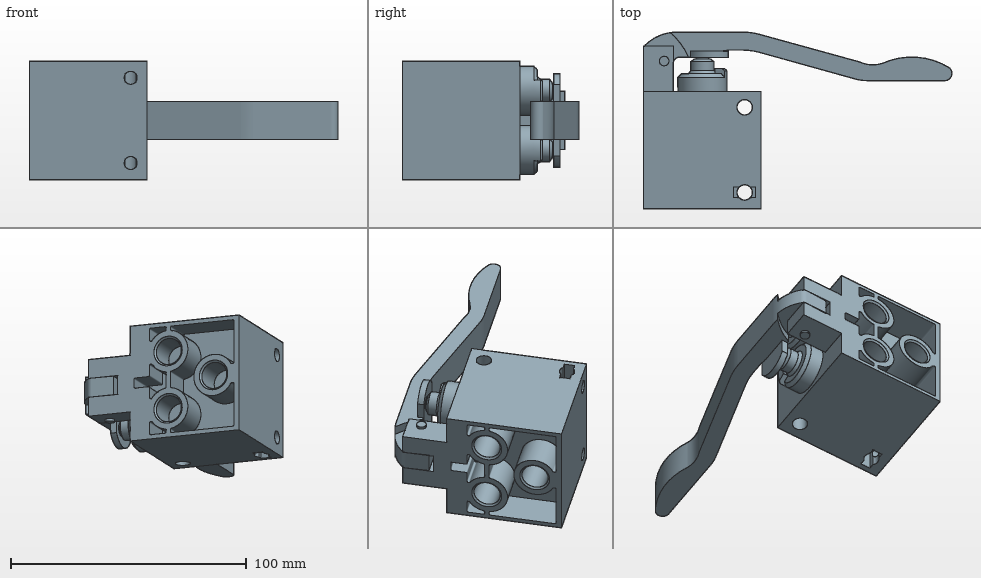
import cadquery as cq
import math

body_length = 49.9
body_depth = 49.9
body_height = 50.5

port_diameter = 11.4
port_mouth_diameter = 13.0
port_mouth_chamfer = (port_mouth_diameter - port_diameter) / 2
port_boss_radius = 9.0
hollow_depth = 14.8
hollow_corner_radius = 0.7
side_wall = 1.8
front_wall = 2.4
cross_wall_start = 31.5
cross_wall_end = 33.4
rear_hollow_end = 41.0
key_end = 48.1
key_width = 4.5
boss_web_width = 8.4
outlet_y = 11.7
valve_offset = 12.6
inlet_y = 32.5
port_centers = [(inlet_y, valve_offset), (inlet_y, -valve_offset), (outlet_y, 0)]

mount_x = 43.0
mount_front_y = 7.0
mount_rear_y = 43.1
mount_diameter = 6.4
mount_slot_length = 9.3
mount_slot_width = 4.5
mount_slot_depth = 10.0
front_hole_diameter = 5.5
front_hole_offset = 18.1

bracket_length = 12.7
bracket_top = 69.0
bracket_width = 24.9
slot_floor = 55.7
pin_x = 8.8
pin_y = 62.7
pin_diameter = 4.0
pin_length = 27.0

plunger_x = 25.0
collar_radius = 10.5
collar_chamfer_start = 5.9
collar_top = 7.5
collar_top_radius = 8.9
cone_radius = 5.9
cone_top = 8.9
plunger_radius = 5.0
plunger_bevel_start = 12.6
plunger_top = 13.8
plunger_top_radius = 3.4
stem_radius = 2.8
tab_top = 9.7
tab_chamfer = 1.0
tab_angle = 52.0

lever_width = 16.2
tongue_width = 8.3
lever_top = 75.0
lever_underside = 67.3
nose_y = 67.6
nose_mid = (0.3, 68.8)
nose_top = (0.9, 69.7)
hub_back_mid = (5.2, 72.8)
hub_back_end_x = 14.7
bend_angle = math.radians(15.4)
upper_bend_x = 42.3
upper_bend_radius = 25.8
lower_bend_x = 95.1
lower_bend_radius = 19.3
slope_end_x = 91.7
dip_mid = (97.0, 61.2)
dip_end = (101.5, 61.8)
grip_crest = (115.3, 64.5)
grip_underside = 54.4
tip_x = 131.0
tip_radius = 3.1
tip_top = (130.0, 59.9)
tongue_underside = 64.3
seat_start_x = 33.4
tongue_foot_y = 57.6
tongue_foot_x = 0.4
tongue_right_x = 12.7
tongue_fillet = 2.5
hub_top_x = 11.1
hub_mid = (16.1, 69.7)
hub_bottom_x = 19.1

plate_left = 20.0
plate_right = 36.0
plate_top = 67.0
plate_thickness = 2.8
plate_half_span = 19.9
plate_side_half_span = 15.2


def cylinder_along_x(y, z, radius, length):
    return cq.Workplane("YZ").center(y, z).circle(radius).extrude(length)


def box_between(x_range, y_range, z_range):
    sizes = [high - low for low, high in (x_range, y_range, z_range)]
    corner = (x_range[0], y_range[0], z_range[0])
    return cq.Workplane("XY").box(*sizes, centered=False).translate(corner)


def hollow(y_start, y_end):
    """Pocket across the port face, with the port bosses left standing in it."""
    half = body_height / 2 - side_wall
    pocket = box_between((0, hollow_depth), (y_start, y_end), (-half, half))
    for y, z in port_centers:
        pocket = pocket.cut(cylinder_along_x(y, z, port_boss_radius, hollow_depth))
    return pocket


def front_hollow():
    half_web = boss_web_width / 2
    web = box_between((0, hollow_depth), (0, outlet_y), (-half_web, half_web))
    return hollow(front_wall, cross_wall_start).cut(web).edges("|X").fillet(hollow_corner_radius)


def rear_hollow():
    half_key = key_width / 2
    key = box_between((0, hollow_depth), (cross_wall_end, key_end), (-half_key, half_key))
    return hollow(cross_wall_end, rear_hollow_end).union(key).edges("|X").fillet(hollow_corner_radius)


def port(y, z):
    """Blind port with a chamfered mouth."""
    bore = cylinder_along_x(y, z, port_diameter / 2, hollow_depth)
    mouth = cq.Solid.makeCone(
        port_mouth_diameter / 2,
        port_diameter / 2,
        port_mouth_chamfer,
        cq.Vector(0, y, z),
        cq.Vector(1, 0, 0),
    )
    return bore.union(cq.Workplane(mouth))


def mounting_cuts():
    base = cq.Workplane("XY").workplane(offset=-body_height / 2)
    holes = base.pushPoints([(mount_x, mount_front_y), (mount_x, mount_rear_y)])
    cuts = holes.circle(mount_diameter / 2).extrude(body_height)
    slot_outline = base.center(mount_x, mount_front_y).rect(mount_slot_length, mount_slot_width)
    slot = slot_outline.extrude(mount_slot_depth)
    cuts = cuts.union(slot).union(slot.mirror("XY"))
    for z in (front_hole_offset, -front_hole_offset):
        cuts = cuts.union(
            cq.Workplane("XZ").center(mount_x, z).circle(front_hole_diameter / 2).extrude(-mount_front_y)
        )
    return cuts


def body():
    half = body_height / 2
    block = box_between((0, body_length), (0, body_depth), (-half, half))
    block = block.cut(front_hollow()).cut(rear_hollow()).cut(mounting_cuts())
    for y, z in port_centers:
        block = block.cut(port(y, z))
    return block


def bracket():
    half = bracket_width / 2
    half_slot = tongue_width / 2
    block = box_between((0, bracket_length), (body_depth, bracket_top), (-half, half))
    slot = box_between((0, bracket_length), (slot_floor, bracket_top), (-half_slot, half_slot))
    return block.cut(slot)


def pin():
    blank = cq.Workplane("XY").center(pin_x, pin_y).circle(pin_diameter / 2)
    return blank.extrude(pin_length / 2, both=True)


def turned(profile, angle=360):
    """Turn a (radius, height) outline about the Y axis."""
    return cq.Workplane("XY").polyline(profile).close().revolve(angle, (0, 0), (0, 1))


def plunger(z):
    stem_height = plate_top - plate_thickness / 2 - body_depth
    stack = turned([
        (0, 0),
        (collar_radius, 0),
        (collar_radius, collar_chamfer_start),
        (collar_top_radius, collar_top),
        (cone_radius, collar_top),
        (plunger_radius, cone_top),
        (plunger_radius, plunger_bevel_start),
        (plunger_top_radius, plunger_top),
        (stem_radius, plunger_top),
        (stem_radius, stem_height),
        (0, stem_height),
    ])
    tab = turned([
        (cone_radius, 0),
        (collar_radius, 0),
        (collar_radius, tab_top - tab_chamfer),
        (collar_radius - tab_chamfer, tab_top),
        (cone_radius, tab_top),
    ], tab_angle).rotate((0, 0, 0), (0, 1, 0), -tab_angle / 2)
    return stack.union(tab).translate((plunger_x, body_depth, z))


def bend_points(x, y, radius, turn, side):
    """Middle and end of an arc that leaves (x, y) horizontally towards side (+1 or -1) along X
    and curves to the bend angle, downwards for turn -1 and upwards for turn +1."""
    return [
        (x + side * radius * math.sin(angle), y + turn * radius * (1 - math.cos(angle)))
        for angle in (bend_angle / 2, bend_angle)
    ]


def lever_profile():
    """Outline of the whole lever, drawn clockwise from the foot of its tongue."""
    top_bend_mid, top_bend_end = bend_points(upper_bend_x, lever_top, upper_bend_radius, -1, 1)
    under_bend_mid, under_bend_end = bend_points(upper_bend_x, lever_underside, upper_bend_radius, -1, 1)
    grip_bend_mid, grip_bend_end = bend_points(lower_bend_x, grip_underside, lower_bend_radius, 1, -1)
    slope_end_y = top_bend_end[1] - (slope_end_x - top_bend_end[0]) * math.tan(bend_angle)
    return (
        cq.Workplane("XY")
        .moveTo(tongue_foot_x, tongue_foot_y)
        .lineTo(0, nose_y)
        .threePointArc(nose_mid, nose_top)
        .threePointArc(hub_back_mid, (hub_back_end_x, lever_top))
        .lineTo(upper_bend_x, lever_top)
        .threePointArc(top_bend_mid, top_bend_end)
        .lineTo(slope_end_x, slope_end_y)
        .threePointArc(dip_mid, dip_end)
        .threePointArc(grip_crest, tip_top)
        .threePointArc((tip_x, grip_underside + tip_radius), (tip_x - tip_radius, grip_underside))
        .lineTo(lower_bend_x, grip_underside)
        .threePointArc(grip_bend_mid, grip_bend_end)
        .lineTo(*under_bend_end)
        .threePointArc(under_bend_mid, (upper_bend_x, lever_underside))
        .lineTo(plate_right, lever_underside)
        .lineTo(seat_start_x, plate_top)
        .lineTo(plate_left, plate_top)
        .lineTo(plate_left, tongue_underside)
        .lineTo(tongue_right_x + tongue_fillet, tongue_underside)
        .radiusArc((tongue_right_x, tongue_underside - tongue_fillet), -tongue_fillet)
        .lineTo(tongue_right_x, tongue_foot_y)
        .close()
    )


def lever():
    """Full-width lever, narrowed to its tongue around the pin."""
    whole = lever_profile().extrude(lever_width / 2, both=True)
    tongue = lever_profile().extrude(tongue_width / 2, both=True)
    hub = (
        cq.Workplane("XY")
        .moveTo(hub_top_x, lever_top)
        .threePointArc(hub_mid, (hub_bottom_x, tongue_underside))
        .lineTo(hub_bottom_x, tongue_foot_y)
        .lineTo(0, tongue_foot_y)
        .lineTo(0, lever_top)
        .close()
        .extrude(lever_width / 2, both=True)
    )
    return whole.cut(hub).union(tongue)


def presser_plate():
    """Flat plate with arched ends, lying across both plungers."""
    middle_x = (plate_left + plate_right) / 2
    outline = (
        cq.Workplane("XZ", origin=(0, plate_top, 0))
        .moveTo(plate_left, -plate_side_half_span)
        .lineTo(plate_left, plate_side_half_span)
        .threePointArc((middle_x, plate_half_span), (plate_right, plate_side_half_span))
        .lineTo(plate_right, -plate_side_half_span)
        .threePointArc((middle_x, -plate_half_span), (plate_left, -plate_side_half_span))
        .close()
    )
    return outline.extrude(plate_thickness)


result = body().union(bracket()).union(pin()).union(lever()).union(presser_plate())
for offset in (valve_offset, -valve_offset):
    result = result.union(plunger(offset))